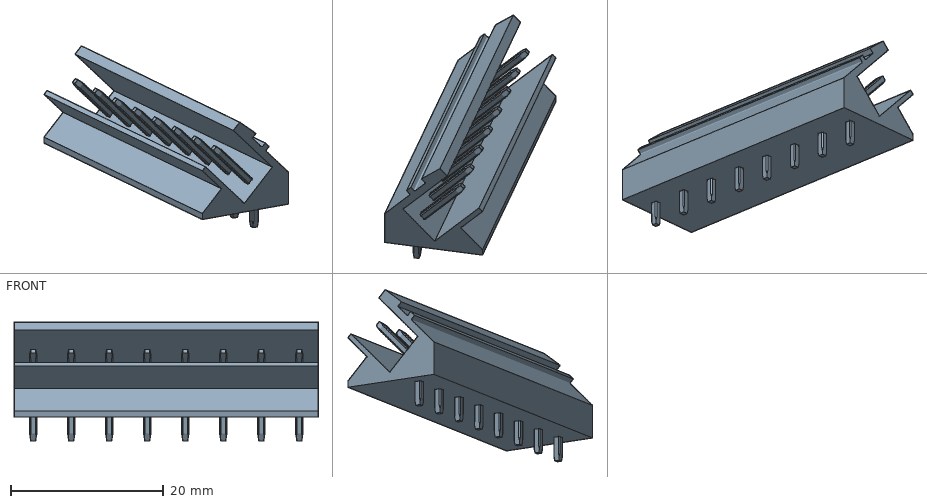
import cadquery as cq
import math

DIAG = math.sqrt(0.5)

LENGTH = 40.0
DEPTH = 13.3
FRONT_EDGE_HEIGHT = 0.85
SLOT_DEPTH = 8.5
SLOT_WIDTH = 6.1
SLOT_LOW_Z = 1.2
FRONT_WALL = 0.7
BACK_WALL = 1.0

LIP_LENGTH = 3.15
LIP_STEP = 0.75
LIP_TIP = 0.4
LIP_FLAT = 0.3

RIB_START = 5.25
RIB_WIDTH = 0.85
RIB_HEIGHT = 0.7
RIB_FOOT_RADIUS = 0.15

PIN_COUNT = 8
PIN_PITCH = 5.0
PIN_SIZE = 0.95
PIN_CHAMFER = 0.15
PIN_TIP_SIZE = 0.65
PIN_TIP_LENGTH = 0.95
PIN_TAIL = 3.15
PIN_CONTACT = 7.55
PIN_TAIL_Y = 9.5

slot_low_y = (SLOT_DEPTH + FRONT_WALL) * DIAG


def slot_point(up, across):
    """(Y, Z) of a point 'up' along the lean and 'across' the slot from its lowest corner."""
    y = slot_low_y + (across - up) * DIAG
    z = SLOT_LOW_Z + (across + up) * DIAG
    return y, z


def back_wall_point(below_end, height):
    """(Y, Z) of a point on the back wall's outer side: distance below the wall end, height off the face."""
    return slot_point(SLOT_DEPTH - below_end, SLOT_WIDTH + BACK_WALL + height)


def make_housing():
    front_tip_z = slot_point(SLOT_DEPTH, -FRONT_WALL)[1]
    shoulder_y = (front_tip_z - FRONT_EDGE_HEIGHT) / 2
    back_face_y, back_face_z = back_wall_point(0, 0)
    back_edge_z = back_face_z - (DEPTH - back_face_y)
    rib_end = RIB_START + RIB_WIDTH

    outline = [
        (0, 0),
        (0, FRONT_EDGE_HEIGHT),
        (shoulder_y, front_tip_z - shoulder_y),
        slot_point(SLOT_DEPTH, -FRONT_WALL),
        slot_point(SLOT_DEPTH, 0),
        slot_point(0, 0),
        slot_point(0, SLOT_WIDTH),
        slot_point(SLOT_DEPTH, SLOT_WIDTH),
        back_wall_point(0, LIP_TIP),
        back_wall_point(LIP_LENGTH - LIP_FLAT, LIP_STEP),
        back_wall_point(LIP_LENGTH, LIP_STEP),
        back_wall_point(LIP_LENGTH, 0),
        back_wall_point(RIB_START, 0),
        back_wall_point(RIB_START, RIB_HEIGHT),
        back_wall_point(rib_end, RIB_HEIGHT),
        back_wall_point(rib_end, 0),
        (DEPTH, back_edge_z),
        (DEPTH, 0),
    ]
    body = cq.Workplane("YZ").polyline(outline).close().extrude(LENGTH)

    for below_end in (RIB_START, rib_end):
        foot_edge = cq.selectors.NearestToPointSelector((LENGTH / 2, *back_wall_point(below_end, 0)))
        body = body.edges(foot_edge).fillet(RIB_FOOT_RADIUS)
    return body


def square_bar(plane, length):
    """Chamfered square bar rising from the plane."""
    return (
        cq.Workplane(plane).rect(PIN_SIZE, PIN_SIZE).extrude(length)
        .edges(cq.selectors.ParallelDirSelector(plane.zDir)).chamfer(PIN_CHAMFER)
    )


def make_tip(root, direction):
    """Pin tip: the chamfered bar tapering to a smaller square along direction."""
    plane = cq.Plane(origin=root, xDir=(1, 0, 0), normal=direction)
    taper = (
        cq.Workplane(plane).rect(PIN_SIZE, PIN_SIZE)
        .workplane(offset=PIN_TIP_LENGTH).rect(PIN_TIP_SIZE, PIN_TIP_SIZE).loft()
    )
    return square_bar(plane, PIN_TIP_LENGTH).intersect(taper)


def make_pin(x):
    """Bent pin: a vertical tail, then a contact leaning along the middle of the slot."""
    mid_slot = SLOT_WIDTH / 2
    floor_y, floor_z = slot_point(0, mid_slot)
    bend_z = floor_z - (PIN_TAIL_Y - floor_y)
    contact_y, contact_z = slot_point(PIN_CONTACT - PIN_TIP_LENGTH, mid_slot)

    tail_root = cq.Vector(x, PIN_TAIL_Y, PIN_TIP_LENGTH - PIN_TAIL)
    bend = cq.Vector(x, PIN_TAIL_Y, bend_z)
    contact_root = cq.Vector(x, contact_y, contact_z)

    section_plane = cq.Plane(origin=tail_root, xDir=(1, 0, 0), normal=(0, 0, 1))
    section = square_bar(section_plane, PIN_SIZE).faces("<Z").wires().val()
    path = cq.Workplane(cq.Wire.makePolygon([tail_root, bend, contact_root]))
    shank = cq.Workplane(section_plane).add(section).toPending().sweep(path, transition="right")
    tail_tip = make_tip(tail_root, (0, 0, -1))
    contact_tip = make_tip(contact_root, (0, -DIAG, DIAG))
    return shank.union(tail_tip).union(contact_tip).clean()


first_pin_x = (LENGTH - PIN_PITCH * (PIN_COUNT - 1)) / 2
pins = [make_pin(first_pin_x + i * PIN_PITCH) for i in range(PIN_COUNT)]

housing = make_housing()
for pin in pins:
    housing = housing.cut(pin)

result = cq.Compound.makeCompound([housing.val(), *[pin.val() for pin in pins]])